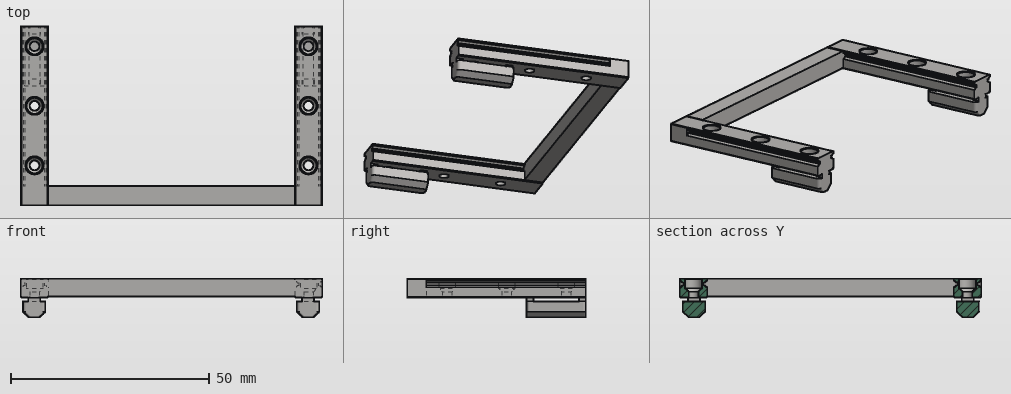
import cadquery as cq
import math

FRAME_WIDTH = 76.0
FRAME_LENGTH = 45.09
TOTAL_HEIGHT = 9.79

RAIL_WIDTH = 7.0
RAIL_HEIGHT = 4.79
RAIL_EDGE_CHAMFER = 0.25
RAIL_TOP_BEVEL_HEIGHT = 0.15

CROSSBAR_DEPTH = 4.9
CROSSBAR_HEIGHT = RAIL_HEIGHT - RAIL_EDGE_CHAMFER

GROOVE_TOP = 0.6
GROOVE_LIP_RADIUS = 0.7
GROOVE_LIP_HEIGHT = 0.5
SLOT_HEIGHT = 0.55
SLOT_DEPTH = 1.0

HOLE_PITCH = 15.0
HOLE_COUNT = 3
HOLE_END_DISTANCE = 5.0
SCREW_DIAMETER = 2.4
HEAD_DIAMETER = 4.2
HEAD_DEPTH = 2.5
SEAT_DIAMETER = 4.0
MOUTH_CHAMFER = 0.2

FOOT_LENGTH = 15.0
FOOT_WIDTH = 5.7
FOOT_BOTTOM_WIDTH = 2.7
FOOT_CORNER_RADIUS = 0.8
FOOT_GAP = 1.0
FOOT_TAPER_HEIGHT = 1.4
POST_WIDTH = 3.1
POST_LENGTH = 1.8
FOOT_SHIFT = -0.1

RAIL_OFFSET = (FRAME_WIDTH - RAIL_WIDTH) / 2
FOOT_TOP = -RAIL_HEIGHT - FOOT_GAP
FOOT_BOTTOM = -TOTAL_HEIGHT


def block(width, length, height, center_x, front_y, top_z):
    """Box placed by its X centre, its front face and its top face."""
    box = cq.Workplane("XY").box(width, length, height, centered=(True, False, False))
    return box.translate((center_x, front_y, top_z - height))


def top_bevel(side):
    """Cutter for the shallow bevel on the left (-1) or right (+1) top edge of a rail."""
    flank = side * RAIL_WIDTH / 2
    section = cq.Workplane("XZ").polyline([
        (flank, 0),
        (flank - side * RAIL_EDGE_CHAMFER, 0),
        (flank, -RAIL_TOP_BEVEL_HEIGHT),
    ]).close()
    return section.extrude(-FRAME_LENGTH)


def groove(side):
    """Groove cutter on the left (-1) or right (+1) flank of a rail: a slot with a flared mouth.

    Each mouth arc leaves the flank horizontally and is centred on the plane of the flank.
    """
    flank = side * RAIL_WIDTH / 2
    slot_floor = flank - side * SLOT_DEPTH
    middle_z = -GROOVE_TOP - GROOVE_LIP_HEIGHT - SLOT_HEIGHT / 2
    arc_angle = math.acos(1 - GROOVE_LIP_HEIGHT / GROOVE_LIP_RADIUS)

    def arc_point(angle, direction):
        """Point on the upper (+1) or lower (-1) mouth arc, at an angle measured from the flank."""
        x = flank - side * GROOVE_LIP_RADIUS * math.sin(angle)
        rise = GROOVE_LIP_HEIGHT - GROOVE_LIP_RADIUS * (1 - math.cos(angle))
        return x, middle_z + direction * (SLOT_HEIGHT / 2 + rise)

    section = (
        cq.Workplane("XZ")
        .moveTo(*arc_point(0, 1))
        .threePointArc(arc_point(arc_angle / 2, 1), arc_point(arc_angle, 1))
        .lineTo(slot_floor, middle_z + SLOT_HEIGHT / 2)
        .lineTo(slot_floor, middle_z - SLOT_HEIGHT / 2)
        .lineTo(*arc_point(arc_angle, -1))
        .threePointArc(arc_point(arc_angle / 2, -1), arc_point(0, -1))
        .close()
    )
    cutter = section.extrude(-(FRAME_LENGTH - CROSSBAR_DEPTH))
    return cutter.translate((0, CROSSBAR_DEPTH, 0))


def screw_hole(y):
    """Cutter, revolved about its axis: head bore, conical seat and screw bore."""
    head_radius = HEAD_DIAMETER / 2
    seat_radius = SEAT_DIAMETER / 2
    screw_radius = SCREW_DIAMETER / 2
    seat_bottom = -HEAD_DEPTH - (seat_radius - screw_radius)
    profile = cq.Workplane("XZ").polyline([
        (0, 0),
        (head_radius + MOUTH_CHAMFER, 0),
        (head_radius, -MOUTH_CHAMFER),
        (head_radius, -HEAD_DEPTH),
        (seat_radius, -HEAD_DEPTH),
        (screw_radius, seat_bottom),
        (screw_radius, -RAIL_HEIGHT),
        (0, -RAIL_HEIGHT),
    ]).close()
    return profile.revolve(360, (0, 0, 0), (0, 1, 0)).translate((0, y, 0))


def rail():
    body = block(RAIL_WIDTH, FRAME_LENGTH, RAIL_HEIGHT, 0, 0, 0)
    body = body.faces("<Z").edges("|Y").chamfer(RAIL_EDGE_CHAMFER)
    for side in (-1, 1):
        body = body.cut(top_bevel(side))
    for side in (-1, 1):
        body = body.cut(groove(side))
    for index in range(HOLE_COUNT):
        body = body.cut(screw_hole(FRAME_LENGTH - HOLE_END_DISTANCE - index * HOLE_PITCH))
    return body


def foot_outline(width):
    """Round-cornered plan outline of the foot, centred on the origin."""
    return cq.Sketch().rect(width, FOOT_LENGTH).vertices().fillet(FOOT_CORNER_RADIUS)


def foot():
    """Foot with straight upper flanks, tapering flanks below and two posts up to the rail."""
    taper_top = FOOT_BOTTOM + FOOT_TAPER_HEIGHT
    upper = cq.Workplane("XY").placeSketch(foot_outline(FOOT_WIDTH)).extrude(FOOT_TOP - taper_top)
    lower = cq.Workplane("XY").placeSketch(
        foot_outline(FOOT_BOTTOM_WIDTH),
        foot_outline(FOOT_WIDTH).moved(cq.Location(cq.Vector(0, 0, FOOT_TAPER_HEIGHT))),
    ).loft(ruled=True)
    foot_front = FRAME_LENGTH - FOOT_LENGTH
    foot_center = foot_front + FOOT_LENGTH / 2
    body = upper.translate((0, foot_center, taper_top))
    body = body.union(lower.translate((0, foot_center, FOOT_BOTTOM)))
    for post_front in (foot_front, FRAME_LENGTH - POST_LENGTH):
        body = body.union(block(POST_WIDTH, POST_LENGTH, FOOT_GAP, 0, post_front, -RAIL_HEIGHT))
    return body


def crossbar():
    span = FRAME_WIDTH - 2 * RAIL_WIDTH
    return block(span, CROSSBAR_DEPTH, CROSSBAR_HEIGHT, 0, 0, 0)


footed_rail = rail().union(foot().translate((FOOT_SHIFT, 0, 0)))
result = crossbar()
for rail_side in (-1, 1):
    result = result.union(footed_rail.translate((rail_side * RAIL_OFFSET, 0, 0)))